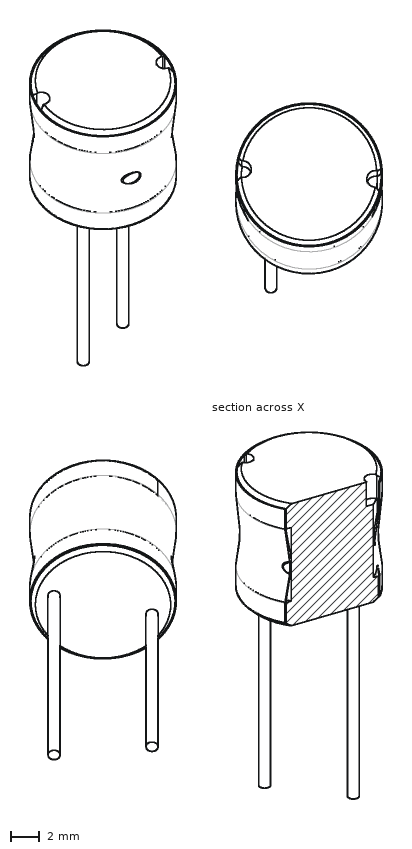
import cadquery as cq

overall_length = 28

core_height = 10.08
flange_radius = 5.0
flange_chamfer = 0.3
top_flange_thickness = 2.0
bottom_flange_thickness = 2.07

notch_radius = 0.6
notch_center_radius = 4.62
notch_flare_offset = 0.48
notch_angles = (45, 225)

sleeve_radius = 5.1
sleeve_waist_radius = 4.82
sleeve_thickness = sleeve_radius - flange_radius
sleeve_bottom = 0.4
sleeve_top = core_height - flange_chamfer
waist_bottom = bottom_flange_thickness
waist_top = core_height - top_flange_thickness
waist_middle = (waist_bottom + waist_top) / 2
hub_radius = sleeve_waist_radius - sleeve_thickness

dot_radius = 0.5
dot_y = -3.2
dot_drop = 0.28
dot_z = waist_middle - dot_drop

pin_diameter = 0.85
pin_offset = 3.5
long_pin_length = overall_length - core_height
short_pin_length = 14.92


def make_notch_cutter(angle):
    """Round wire seat and its outward flare, placed at the given angle around the Z axis."""
    seat = (
        cq.Workplane("XY")
        .workplane(offset=waist_top)
        .center(notch_center_radius, 0)
        .circle(notch_radius)
        .extrude(top_flange_thickness)
    )
    flare_apex = notch_center_radius - notch_flare_offset
    flare_reach = sleeve_radius - flare_apex
    flare = (
        cq.Workplane("XY")
        .workplane(offset=waist_top)
        .moveTo(flare_apex, 0)
        .lineTo(sleeve_radius, flare_reach)
        .lineTo(sleeve_radius, -flare_reach)
        .close()
        .extrude(top_flange_thickness)
    )
    return seat.union(flare).rotate((0, 0, 0), (0, 0, 1), angle)


def make_core():
    """Drum core: two chamfered flanges on a hub, with wire notches through the top flange."""
    core = (
        cq.Workplane("XY")
        .circle(flange_radius)
        .extrude(core_height)
        .faces(">Z")
        .chamfer(flange_chamfer)
        .faces("<Z")
        .chamfer(flange_chamfer)
    )
    hub_groove = (
        cq.Workplane("XY")
        .workplane(offset=waist_bottom)
        .circle(flange_radius)
        .circle(hub_radius)
        .extrude(waist_top - waist_bottom)
    )
    core = core.cut(hub_groove)
    for angle in notch_angles:
        core = core.cut(make_notch_cutter(angle))
    return core


def make_full_sleeve():
    """Thin sleeve with straight ends and a curved waist."""
    return (
        cq.Workplane("XZ")
        .moveTo(flange_radius, sleeve_bottom)
        .lineTo(sleeve_radius, sleeve_bottom)
        .lineTo(sleeve_radius, waist_bottom)
        .threePointArc((sleeve_waist_radius, waist_middle), (sleeve_radius, waist_top))
        .lineTo(sleeve_radius, sleeve_top)
        .lineTo(flange_radius, sleeve_top)
        .lineTo(flange_radius, waist_top)
        .threePointArc(
            (hub_radius, waist_middle),
            (flange_radius, waist_bottom),
        )
        .close()
        .revolve(360, (0, 0), (0, 1))
    )


def make_dot_cutter():
    """Round bar along +X that outlines the polarity dot."""
    return cq.Workplane("YZ").center(dot_y, dot_z).circle(dot_radius).extrude(sleeve_radius)


def make_pin(y, length):
    """Round lead hanging from the underside of the core."""
    return cq.Workplane("XY").center(0, y).circle(pin_diameter / 2).extrude(-length)


core = make_core()
full_sleeve = make_full_sleeve()
dot_cutter = make_dot_cutter()
sleeve = full_sleeve.cut(dot_cutter)
dot = full_sleeve.intersect(dot_cutter)
pins = [
    make_pin(y, length)
    for y, length in ((pin_offset, long_pin_length), (-pin_offset, short_pin_length))
]

result = cq.Compound.makeCompound([core.val(), sleeve.val(), dot.val(), *[pin.val() for pin in pins]])